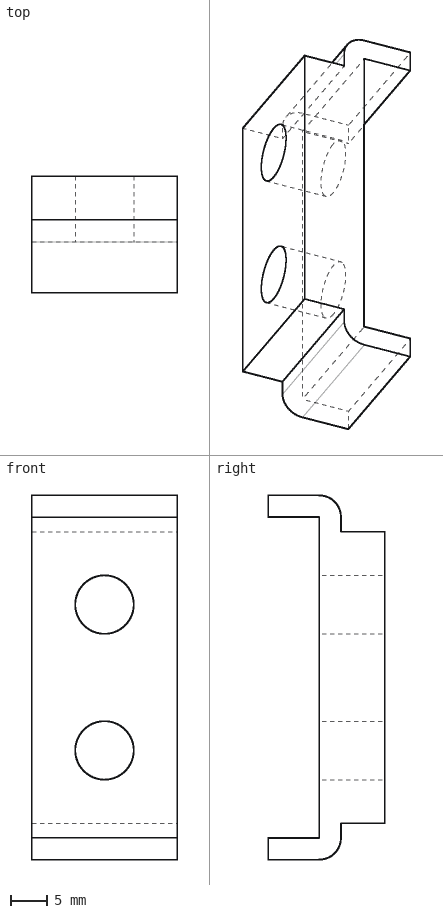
import cadquery as cq

width = 20.0
height = 50.0
channel_depth = 10.0
wall = 3.0
bend_radius = 3.0
block_depth = 6.0
block_height = 40.0
hole_diameter = 8.0
hole_spacing = 20.0

total_depth = channel_depth + block_depth


def make_channel():
    """Channel open toward -Y, with its back face at Y = channel_depth."""
    outer = (
        cq.Workplane("XY")
        .box(width, channel_depth, height, centered=(True, False, True))
        .edges("|X and >Y")
        .fillet(bend_radius)
    )
    opening = cq.Workplane("XY").box(
        width, channel_depth - wall, height - 2 * wall, centered=(True, False, True)
    )
    return outer.cut(opening)


def make_block():
    """Backing block fixed to the back face of the channel."""
    return (
        cq.Workplane("XY")
        .box(width, block_depth, block_height, centered=(True, False, True))
        .translate((0, channel_depth, 0))
    )


def make_holes():
    """Two through holes along Y, spaced evenly about mid-height."""
    return (
        cq.Workplane("XZ")
        .pushPoints([(0, -hole_spacing / 2), (0, hole_spacing / 2)])
        .circle(hole_diameter / 2)
        .extrude(-total_depth)
    )


result = make_channel().union(make_block()).cut(make_holes())